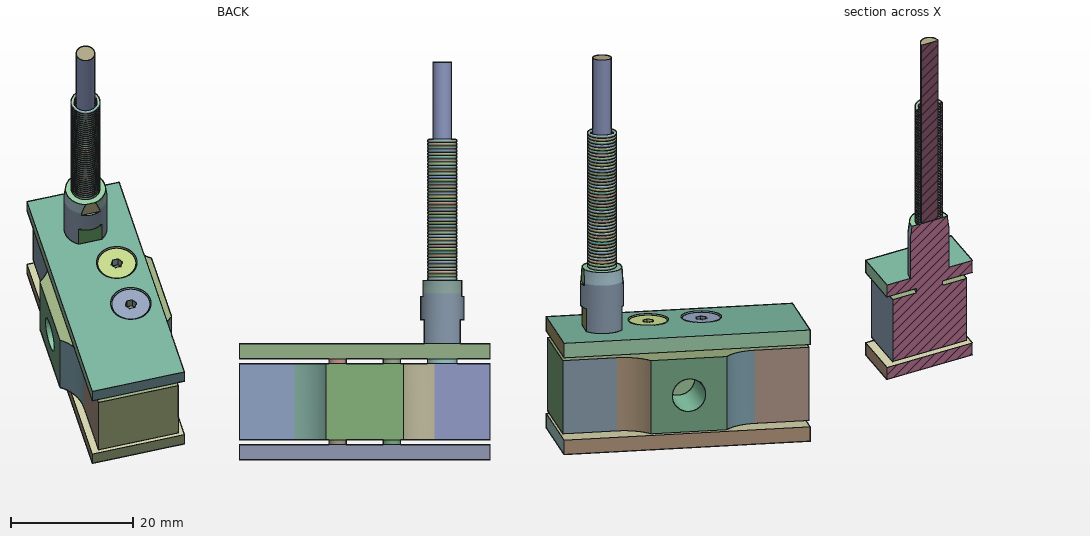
import cadquery as cq
import math


TOTAL_HEIGHT = 65.0

LENGTH = 40.95
PLATE_WIDTH = 15.6
PLATE_THICKNESS = 2.5
PLATE_GAP = 0.8
BLOCK_HEIGHT = 12.5
BLOCK_END_WIDTH = 13.5
BLOCK_MIDDLE_WIDTH = 18.9
MIDDLE_FACE_LENGTH = 12.6
FLARE_LENGTH = 5.15
SIDE_HOLE_DIAMETER = 5.5
SIDE_HOLE_DEPTH = BLOCK_MIDDLE_WIDTH / 2

BLOCK_BOTTOM = PLATE_THICKNESS + PLATE_GAP
BLOCK_TOP = BLOCK_BOTTOM + BLOCK_HEIGHT
UPPER_PLATE_BOTTOM = BLOCK_TOP + PLATE_GAP
UPPER_PLATE_TOP = UPPER_PLATE_BOTTOM + PLATE_THICKNESS

PIN_SPACING = 8.85
PIN_Y = 3.05
PIN_DIAMETER = 2.85
PIN_POSITIONS = [(-PIN_SPACING / 2, PIN_Y), (PIN_SPACING / 2, PIN_Y)]
SEAT_DIAMETER = 6.6
SEAT_DEPTH = 0.2
SOCKET_ACROSS_FLATS = 1.6
SOCKET_DEPTH = 1.55

OUTLET_X = -12.7
NECK_DIAMETER = 4.9
GLAND_DIAMETER = 7.1
GLAND_TOP_DIAMETER = 6.55
GLAND_HEIGHT = 10.35
GLAND_TAPER_HEIGHT = 2.2
LOWER_FLAT_WIDTH = 5.9
LOWER_FLAT_HEIGHT = 3.9
UPPER_FLAT_WIDTH = 6.4
UPPER_FLAT_HEIGHT = 2.6
GLAND_TOP = UPPER_PLATE_TOP + GLAND_HEIGHT

SPRING_OUTER_DIAMETER = 4.8
SPRING_INNER_DIAMETER = 3.7
SPRING_HEIGHT = 23.1
RING_COUNT = 43
RING_RADIUS = (SPRING_OUTER_DIAMETER - SPRING_INNER_DIAMETER) / 4
RING_CENTRE_RADIUS = (SPRING_OUTER_DIAMETER + SPRING_INNER_DIAMETER) / 4
RING_PITCH = (SPRING_HEIGHT - 2 * RING_RADIUS) / (RING_COUNT - 1)

CABLE_DIAMETER = 3.05


def make_cylinder(diameter, bottom, top, x=0.0, y=0.0):
    """Upright cylinder between two heights."""
    return cq.Workplane("XY", origin=(x, y, bottom)).circle(diameter / 2).extrude(top - bottom)


def make_plate(bottom):
    """Rectangular cover plate with its underside at the given height."""
    return cq.Workplane("XY", origin=(0, 0, bottom)).rect(LENGTH, PLATE_WIDTH).extrude(PLATE_THICKNESS)


def flare_midpoint(x_side, y_side):
    """Middle of the flare arc in the quadrant given by the two signs."""
    rise = (BLOCK_MIDDLE_WIDTH - BLOCK_END_WIDTH) / 2
    radius = (FLARE_LENGTH ** 2 + rise ** 2) / (2 * rise)
    half_angle = math.asin(FLARE_LENGTH / radius) / 2
    x = MIDDLE_FACE_LENGTH / 2 + FLARE_LENGTH - radius * math.sin(half_angle)
    y = BLOCK_END_WIDTH / 2 + radius * (1 - math.cos(half_angle))
    return (x_side * x, y_side * y)


def make_block():
    """Block whose sides sweep out, in arcs tangent to the ends, to a wider middle with a blind side hole."""
    half_length = LENGTH / 2
    end_y = BLOCK_END_WIDTH / 2
    middle_y = BLOCK_MIDDLE_WIDTH / 2
    face_x = MIDDLE_FACE_LENGTH / 2
    flare_x = face_x + FLARE_LENGTH
    block = (
        cq.Workplane("XY", origin=(0, 0, BLOCK_BOTTOM))
        .moveTo(-half_length, -end_y)
        .lineTo(-flare_x, -end_y)
        .threePointArc(flare_midpoint(-1, -1), (-face_x, -middle_y))
        .lineTo(face_x, -middle_y)
        .threePointArc(flare_midpoint(1, -1), (flare_x, -end_y))
        .lineTo(half_length, -end_y)
        .lineTo(half_length, end_y)
        .lineTo(flare_x, end_y)
        .threePointArc(flare_midpoint(1, 1), (face_x, middle_y))
        .lineTo(-face_x, middle_y)
        .threePointArc(flare_midpoint(-1, 1), (-flare_x, end_y))
        .lineTo(-half_length, end_y)
        .close()
        .extrude(BLOCK_HEIGHT)
    )
    hole_height = BLOCK_BOTTOM + BLOCK_HEIGHT / 2
    side_hole = (
        cq.Workplane("XZ", origin=(0, -middle_y, hole_height))
        .circle(SIDE_HOLE_DIAMETER / 2)
        .extrude(-SIDE_HOLE_DEPTH)
    )
    return block.cut(side_hole)


def cut_screw_seats(plate):
    """Cut a shallow 45 degree seat with a hexagon socket in its floor above each pin."""
    socket_corner_diameter = SOCKET_ACROSS_FLATS / math.cos(math.pi / 6)
    floor = UPPER_PLATE_TOP - SEAT_DEPTH
    for x, y in PIN_POSITIONS:
        seat = (
            cq.Workplane("XY", origin=(x, y, UPPER_PLATE_TOP))
            .circle(SEAT_DIAMETER / 2)
            .extrude(-SEAT_DEPTH, taper=45)
        )
        socket = (
            cq.Workplane("XY", origin=(x, y, floor))
            .transformed(rotate=(0, 0, 90))
            .polygon(6, socket_corner_diameter)
            .extrude(-SOCKET_DEPTH)
        )
        plate = plate.cut(seat).cut(socket)
    return plate


def make_flat_limit(width, bottom, height):
    """Box that keeps only the part of the gland between a pair of flats facing -X and +X."""
    return (
        cq.Workplane("XY", origin=(OUTLET_X, 0, bottom))
        .rect(width, GLAND_DIAMETER)
        .extrude(height)
    )


def make_gland():
    """Gland with a tapered top and two pairs of flats."""
    taper_bottom = GLAND_HEIGHT - GLAND_TAPER_HEIGHT
    middle_height = GLAND_HEIGHT - LOWER_FLAT_HEIGHT - UPPER_FLAT_HEIGHT
    middle_bottom = UPPER_PLATE_TOP + LOWER_FLAT_HEIGHT
    turned = (
        cq.Workplane("XZ", origin=(OUTLET_X, 0, UPPER_PLATE_TOP))
        .moveTo(0, 0)
        .lineTo(GLAND_DIAMETER / 2, 0)
        .lineTo(GLAND_DIAMETER / 2, taper_bottom)
        .lineTo(GLAND_TOP_DIAMETER / 2, GLAND_HEIGHT)
        .lineTo(0, GLAND_HEIGHT)
        .close()
        .revolve(360, (0, 0, 0), (0, 1, 0))
    )
    envelope = (
        make_flat_limit(LOWER_FLAT_WIDTH, UPPER_PLATE_TOP, LOWER_FLAT_HEIGHT)
        .union(make_flat_limit(GLAND_DIAMETER, middle_bottom, middle_height))
        .union(make_flat_limit(UPPER_FLAT_WIDTH, middle_bottom + middle_height, UPPER_FLAT_HEIGHT))
    )
    return turned.intersect(envelope)


def make_sensor():
    """Block and plates joined by the pins and the gland neck, with the gland on top."""
    sensor = make_block().union(make_plate(0))
    sensor = sensor.union(cut_screw_seats(make_plate(UPPER_PLATE_BOTTOM)))
    for x, y in PIN_POSITIONS:
        sensor = sensor.union(make_cylinder(PIN_DIAMETER, PLATE_THICKNESS, BLOCK_BOTTOM, x, y))
        sensor = sensor.union(make_cylinder(PIN_DIAMETER, BLOCK_TOP, UPPER_PLATE_BOTTOM, x, y))
    sensor = sensor.union(make_cylinder(NECK_DIAMETER, BLOCK_TOP, UPPER_PLATE_BOTTOM, OUTLET_X))
    return sensor.union(make_gland())


def make_spring():
    """Revolve a scalloped section: a column of overlapping circles, one per ring."""
    cusp_offset = math.sqrt(RING_RADIUS ** 2 - (RING_PITCH / 2) ** 2)
    outer_cusp = RING_CENTRE_RADIUS + cusp_offset
    inner_cusp = RING_CENTRE_RADIUS - cusp_offset
    outer_crest = RING_CENTRE_RADIUS + RING_RADIUS
    inner_crest = RING_CENTRE_RADIUS - RING_RADIUS
    ring_heights = [RING_RADIUS + index * RING_PITCH for index in range(RING_COUNT)]

    section = cq.Workplane("XZ", origin=(OUTLET_X, 0, GLAND_TOP)).moveTo(RING_CENTRE_RADIUS, 0)
    for height in ring_heights[:-1]:
        section = section.threePointArc((outer_crest, height), (outer_cusp, height + RING_PITCH / 2))
    section = section.threePointArc((outer_crest, ring_heights[-1]), (RING_CENTRE_RADIUS, SPRING_HEIGHT))
    for height in reversed(ring_heights[1:]):
        section = section.threePointArc((inner_crest, height), (inner_cusp, height - RING_PITCH / 2))
    section = section.threePointArc((inner_crest, ring_heights[0]), (RING_CENTRE_RADIUS, 0))
    return section.close().revolve(360, (0, 0, 0), (0, 1, 0))


sensor = make_sensor()
spring = make_spring()
cable = make_cylinder(CABLE_DIAMETER, GLAND_TOP, TOTAL_HEIGHT, OUTLET_X)

result = cq.Compound.makeCompound([sensor.val(), spring.val(), cable.val()])